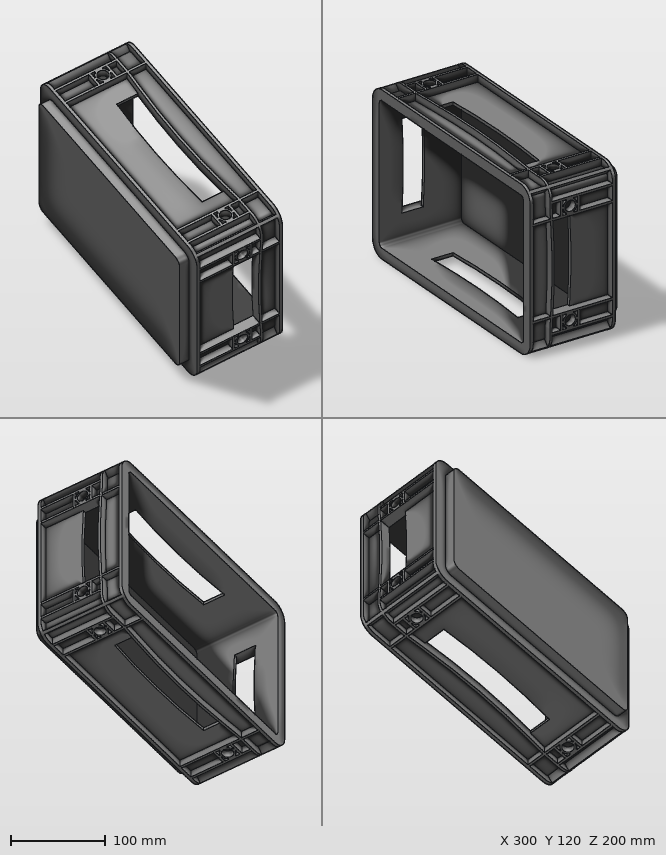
import cadquery as cq
import math

LENGTH = 300.0
WIDTH = 200.0
DEPTH = 120.0
CORNER_RADIUS = 18.0

FOOT_HEIGHT = 12.0
FOOT_INSET = 15.0
FOOT_RADIUS = 9.0

RIB_HEIGHT = 9.0
SKIN = 4.0
RIB = 3.0
FLANGE = 4.0
CORNER_RIB = 4.0
OUTER_RIB_INSET = 21.0
INNER_RIB_INSET = 41.0
BAND_DROP = 25.0

BOSS_DROP = 50.7
BOSS_CELL = 18.5
BOSS_DIAMETER = 17.5
WIDE_WEB = 9.5
THIN_WEB = 3.5
BOSS_HOLE = 13.0

SLOT_HEIGHT = 27.0
LONG_SLOT_HALF = 82.0
LONG_RAMP = 24.0
LONG_RAMP_DROP = 1.8
LONG_ARC_SAG = 3.3
SHORT_RAMP = 15.0
SHORT_RAMP_DROP = 1.0
SHORT_ARC_SAG = 1.8

CORE_RADIUS = CORNER_RADIUS - RIB_HEIGHT
CAVITY_INSET = RIB_HEIGHT + SKIN
CAVITY_RADIUS = CORNER_RADIUS - CAVITY_INSET
FLOOR_Y = FOOT_HEIGHT + FLANGE
BAND_Y = DEPTH - BAND_DROP
BOSS_Y = DEPTH - BOSS_DROP
OUTER_RIB_END = OUTER_RIB_INSET + RIB
INNER_RIB_END = INNER_RIB_INSET + RIB
BOSS_INSET = (OUTER_RIB_END + INNER_RIB_INSET) / 2
SHORT_SLOT_HALF = WIDTH / 2 - INNER_RIB_END
LONG_ARCH = (LONG_SLOT_HALF + LONG_RAMP, LONG_RAMP_DROP, LONG_SLOT_HALF, LONG_ARC_SAG)
SHORT_ARCH = (SHORT_SLOT_HALF + SHORT_RAMP, SHORT_RAMP_DROP, SHORT_SLOT_HALF, SHORT_ARC_SAG)


def box(x0, x1, y0, y1, z0, z1):
    """Box between two opposite corners."""
    return cq.Workplane("XY").box(x1 - x0, y1 - y0, z1 - z0, centered=False).translate((x0, y0, z0))


def rounded_plate(inset, radius, y0, y1):
    """Crate outline moved in by inset, filled from y0 to y1."""
    half_x = LENGTH / 2 - inset
    half_z = WIDTH / 2 - inset
    return box(-half_x, half_x, y0, y1, -half_z, half_z).edges("|Y").fillet(radius)


def side_span(side, half_length, near_inset, far_inset):
    """Low and high coordinate of a stretch given by its insets from the end on that side (-1 or 1)."""
    return sorted((side * (half_length - near_inset), side * (half_length - far_inset)))


def bar(x0, x1, y0, y1, face_distance):
    """Rectangular prism running along Z between two opposite faces."""
    return box(x0, x1, y0, y1, -face_distance, face_distance)


def arched_strip(half_length, arch, top_y, height, face_distance):
    """Prism along Z whose parallel edges run level, slope down a ramp and then sag in an arc."""
    ramp_half, ramp_drop, arc_half, arc_sag = arch
    low_y = top_y - height
    return (
        cq.Workplane("XY")
        .workplane(offset=-face_distance)
        .moveTo(-half_length, top_y)
        .lineTo(-ramp_half, top_y)
        .lineTo(-arc_half, top_y - ramp_drop)
        .threePointArc((0, top_y - ramp_drop - arc_sag), (arc_half, top_y - ramp_drop))
        .lineTo(ramp_half, top_y)
        .lineTo(half_length, top_y)
        .lineTo(half_length, low_y)
        .lineTo(ramp_half, low_y)
        .lineTo(arc_half, low_y - ramp_drop)
        .threePointArc((0, low_y - ramp_drop - arc_sag), (-arc_half, low_y - ramp_drop))
        .lineTo(-ramp_half, low_y)
        .lineTo(-half_length, low_y)
        .close()
        .extrude(2 * face_distance)
    )


def screw_boss(face_distance):
    """Round boss along Z with a wide web to the ribs beside it and a thin web to the cross ribs."""
    half_gap = (INNER_RIB_INSET - OUTER_RIB_END + RIB) / 2
    half_cell = (BOSS_CELL + RIB) / 2
    boss = cq.Workplane("XY").circle(BOSS_DIAMETER / 2).extrude(face_distance, both=True)
    boss = boss.union(bar(-half_gap, half_gap, -WIDE_WEB / 2, WIDE_WEB / 2, face_distance))
    return boss.union(bar(-THIN_WEB / 2, THIN_WEB / 2, -half_cell, half_cell, face_distance))


def face_ribs(half_length, face_distance, arch):
    """Ribs and bosses of a pair of faces normal to Z, run straight through the crate."""
    ribs = arched_strip(half_length - OUTER_RIB_END + RIB / 2, arch, BAND_Y, RIB, face_distance)
    for side in (-1, 1):
        outer_rib = side_span(side, half_length, OUTER_RIB_INSET, OUTER_RIB_END)
        inner_rib = side_span(side, half_length, INNER_RIB_INSET, INNER_RIB_END)
        cell = side_span(side, half_length, OUTER_RIB_INSET, INNER_RIB_END)
        ribs = ribs.union(bar(*outer_rib, FOOT_HEIGHT, BAND_Y - RIB / 2, face_distance))
        ribs = ribs.union(bar(*inner_rib, FOOT_HEIGHT, DEPTH, face_distance))
        for cross_y in (BOSS_Y + BOSS_CELL / 2, BOSS_Y - BOSS_CELL / 2 - RIB):
            ribs = ribs.union(bar(*cell, cross_y, cross_y + RIB, face_distance))
        boss_x = side * (half_length - BOSS_INSET)
        ribs = ribs.union(screw_boss(face_distance).translate((boss_x, BOSS_Y, 0)))
    return ribs


def face_holes(half_length, face_distance):
    """Blind boss holes of a pair of faces normal to Z, ending on the wall skin."""
    hole = cq.Workplane("XY").circle(BOSS_HOLE / 2).extrude(RIB_HEIGHT)
    holes = []
    for side in (-1, 1):
        hole_x = side * (half_length - BOSS_INSET)
        for low_z in (face_distance - RIB_HEIGHT, -face_distance):
            holes.append(hole.translate((hole_x, BOSS_Y, low_z)))
    return holes


def face_slot(slot_half, face_distance, arch):
    """Hand slot through a pair of faces normal to Z, following the arch of the band."""
    ramp_half = arch[0]
    strip = arched_strip(ramp_half + RIB, arch, BAND_Y - RIB, SLOT_HEIGHT, face_distance)
    return strip.intersect(bar(-slot_half, slot_half, 0, DEPTH, face_distance))


def corner_ribs():
    """Diagonal rib and straight girdle band in each of the four corners."""
    spoke = box(0, 2 * CORNER_RADIUS, FOOT_HEIGHT, DEPTH, -CORNER_RIB / 2, CORNER_RIB / 2)
    ribs = []
    for side_x in (-1, 1):
        for side_z in (-1, 1):
            angle = -math.degrees(math.atan2(side_z, side_x))
            arc_x = side_x * (LENGTH / 2 - CORNER_RADIUS)
            arc_z = side_z * (WIDTH / 2 - CORNER_RADIUS)
            ribs.append(spoke.rotate((0, 0, 0), (0, 1, 0), angle).translate((arc_x, 0, arc_z)))
            band_x = side_span(side_x, LENGTH / 2, 0, OUTER_RIB_END)
            band_z = side_span(side_z, WIDTH / 2, 0, OUTER_RIB_END)
            ribs.append(box(*band_x, BAND_Y - RIB, BAND_Y, *band_z))
    return ribs


def turned(shape):
    """Quarter turn about Y: features for the Z faces become features for the X faces."""
    return shape.rotate((0, 0, 0), (0, 1, 0), 90)


body = rounded_plate(RIB_HEIGHT, CORE_RADIUS, FOOT_HEIGHT, DEPTH)
body = body.union(rounded_plate(0, CORNER_RADIUS, FOOT_HEIGHT, FLOOR_Y))
body = body.union(rounded_plate(0, CORNER_RADIUS, DEPTH - FLANGE, DEPTH))

body = body.union(face_ribs(LENGTH / 2, WIDTH / 2, LONG_ARCH))
body = body.union(turned(face_ribs(WIDTH / 2, LENGTH / 2, SHORT_ARCH)))
envelope = rounded_plate(0, CORNER_RADIUS, FOOT_HEIGHT, DEPTH)
for corner_rib in corner_ribs():
    body = body.union(corner_rib.intersect(envelope))

body = body.cut(rounded_plate(CAVITY_INSET, CAVITY_RADIUS, FLOOR_Y, DEPTH))

body = body.cut(face_slot(LONG_SLOT_HALF, WIDTH / 2, LONG_ARCH))
body = body.cut(turned(face_slot(SHORT_SLOT_HALF, LENGTH / 2, SHORT_ARCH)))
for hole in face_holes(LENGTH / 2, WIDTH / 2):
    body = body.cut(hole)
for hole in face_holes(WIDTH / 2, LENGTH / 2):
    body = body.cut(turned(hole))

result = body.union(rounded_plate(FOOT_INSET, FOOT_RADIUS, 0, FOOT_HEIGHT))